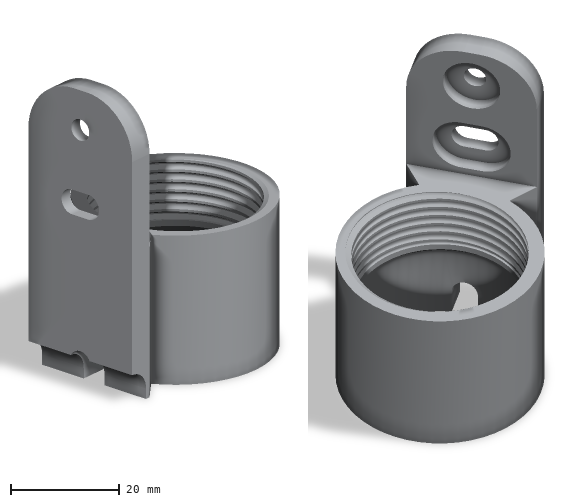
import cadquery as cq
import math

ring_diameter = 38.69
ring_height = 30.0

bore_diameter = 35.6
bore_height = 15.0
lip_diameter = 32.0
lip_cone_height = (bore_diameter - lip_diameter) / 2

thread_minor_diameter = 32.84
thread_major_diameter = 35.0
thread_pitch = 2.0
thread_root_width = thread_pitch / 8
thread_flank_angle = math.radians(30)
thread_bottom_z = 18.0
thread_turns = 8
thread_start_z = thread_bottom_z - thread_pitch
thread_overlap = 0.2

plate_width = 25.0
plate_height = 60.0
plate_thickness = 5.0
plate_corner_radius = 11.0
overall_depth = 46.73
plate_front_y = ring_diameter / 2 - overall_depth
plate_back_y = plate_front_y + plate_thickness

neck_length = 5.0
neck_width = 17.4
neck_ring_y = plate_back_y + neck_length
neck_overlap = 1.0

screw_hole_diameter = 4.3
screw_hole_z = 52.0
slot_length = 9.0
slot_width = 5.0
slot_z = 37.0
recess_diameter = 11.0
recess_depth = 2.5
recess_slot_length = slot_length - slot_width + recess_diameter

relief_radius = 4.0
relief_center_z = 2.1

channel_width = 5.0
channel_center_z = 5.0


def make_ring():
    return cq.Workplane("XY").circle(ring_diameter / 2).extrude(ring_height)


def make_neck():
    half_ring = neck_width / 2
    half_plate = plate_width / 2
    outline = [
        (-half_plate, plate_back_y),
        (half_plate, plate_back_y),
        (half_ring, neck_ring_y),
        (half_ring, neck_ring_y + neck_overlap),
        (-half_ring, neck_ring_y + neck_overlap),
        (-half_ring, neck_ring_y),
    ]
    return cq.Workplane("XY").polyline(outline).close().extrude(ring_height)


def make_plate():
    plate = cq.Workplane("XY").box(
        plate_width, plate_thickness, plate_height, centered=(True, False, False)
    )
    plate = plate.edges("|Y and >Z").fillet(plate_corner_radius)
    return plate.translate((0, plate_front_y, 0))


def sketch_plane(y, z):
    """Plane facing -Y; extruding by a negative distance goes toward +Y."""
    return cq.Workplane("XZ", origin=(0, y, z))


def make_plate_openings():
    """Screw hole and slot through the plate, each recessed from the back."""
    recess_y = plate_back_y - recess_depth
    hole = sketch_plane(plate_front_y, screw_hole_z).circle(screw_hole_diameter / 2).extrude(-plate_thickness)
    hole_recess = sketch_plane(recess_y, screw_hole_z).circle(recess_diameter / 2).extrude(-recess_depth)
    slot = sketch_plane(plate_front_y, slot_z).slot2D(slot_length, slot_width).extrude(-plate_thickness)
    slot_recess = (
        sketch_plane(recess_y, slot_z).slot2D(recess_slot_length, recess_diameter).extrude(-recess_depth)
    )
    return hole.union(hole_recess).union(slot).union(slot_recess)


def make_relief():
    block = cq.Workplane("XY").box(
        plate_width, relief_radius, relief_center_z, centered=(True, False, False)
    )
    block = block.translate((0, plate_front_y, 0))
    cove = (
        cq.Workplane("YZ", origin=(-plate_width / 2, plate_front_y, relief_center_z))
        .circle(relief_radius)
        .extrude(plate_width)
    )
    return block.union(cove)


def make_channel():
    depth = -plate_front_y
    rounded_top = sketch_plane(plate_front_y, channel_center_z).circle(channel_width / 2).extrude(-depth)
    walls = cq.Workplane("XY").box(
        channel_width, depth, channel_center_z, centered=(True, False, False)
    )
    return rounded_top.union(walls.translate((0, plate_front_y, 0)))


def make_bore():
    """Revolved cavity: lower bore, cone, lip opening and thread core."""
    bore_radius = bore_diameter / 2
    lip_radius = lip_diameter / 2
    core_radius = thread_minor_diameter / 2
    profile = [
        (0, 0),
        (bore_radius, 0),
        (bore_radius, bore_height),
        (lip_radius, bore_height + lip_cone_height),
        (lip_radius, thread_bottom_z),
        (core_radius, thread_bottom_z),
        (core_radius, ring_height),
        (0, ring_height),
    ]
    return cq.Workplane("XZ").polyline(profile).close().revolve(360, (0, 0, 0), (0, 1, 0))


def make_thread_groove():
    """Helical V groove, cut off flat on the lip and at the top face of the ring."""
    inner_radius = thread_minor_diameter / 2 - thread_overlap
    outer_radius = thread_major_diameter / 2
    half_root = thread_root_width / 2
    half_mouth = half_root + (outer_radius - inner_radius) * math.tan(thread_flank_angle)
    helix = cq.Wire.makeHelix(thread_pitch, thread_turns * thread_pitch, inner_radius)
    groove = (
        cq.Workplane("XZ")
        .moveTo(inner_radius, -half_mouth)
        .lineTo(outer_radius, -half_root)
        .lineTo(outer_radius, half_root)
        .lineTo(inner_radius, half_mouth)
        .close()
        .sweep(cq.Workplane(helix), isFrenet=True)
    )
    threaded_zone = (
        cq.Workplane("XY", origin=(0, 0, thread_bottom_z))
        .rect(ring_diameter, ring_diameter)
        .extrude(ring_height - thread_bottom_z)
    )
    return groove.translate((0, 0, thread_start_z)).intersect(threaded_zone)


body = make_ring().union(make_neck()).union(make_plate())
body = body.cut(make_plate_openings()).cut(make_relief()).cut(make_channel())
result = body.cut(make_thread_groove()).cut(make_bore())